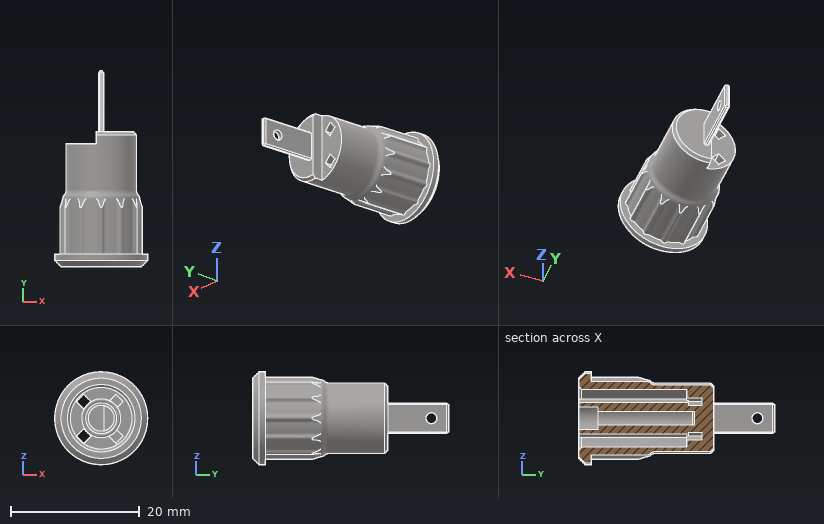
import cadquery as cq
import math

total_length = 30.5

join_overlap = 0.3

flange_radius = 7.245
flange_thickness = 1.98
flange_chamfer = 1.0

shank_radius = 6.0
shoulder_start = 10.55
shoulder_fillet = 1.0
rear_radius = 5.5
rear_end = 21.0
rear_chamfer = 0.5

notch_start = 19.15
notch_face_x = -0.8

rib_count = 12
rib_peak_radius = 6.4
rib_crest_half_width = 0.3
rib_crest_drop = 0.15
rib_foot_half_width = 0.7
rib_flank_sag = 0.037
rib_bevel_start = 9.25

well_radius = 4.8
well_mouth_radius = 5.25
well_mouth_depth = 0.43
well_depth = 16.78
tube_radius = 3.02
tube_wall = 0.6
tube_bore_depth = 3.0
inner_bore_radius = 2.0
inner_bore_depth = 17.7
inner_step_depth = 0.3

window_side = 1.6
upper_window_z = 2.6
lower_window_z = -2.78
through_window_x = -2.7
blind_window_x = 2.3

tab_thickness = 0.8
tab_width = 4.67
tab_edge_chamfer_x = 0.25
tab_edge_chamfer_z = 0.2
tab_tip_chamfer_y = 0.37
tab_hole_diameter = 1.65
tab_hole_y = 27.8


def revolve_about_y(profile):
    """Revolve a closed profile drawn in XY (X is the radius) about the Y axis."""
    return profile.close().revolve(360, (0, 0, 0), (0, 1, 0))


def cylinder(radius, start, end):
    """Solid cylinder on the Y axis between two Y positions."""
    return cq.Workplane("XZ", origin=(0, start, 0)).circle(radius).extrude(start - end)


def make_shell():
    """Flange, shank and shoulder; the shoulder is two equal tangent arcs."""
    half_drop = (shank_radius - rear_radius) / 2
    turn = math.acos(1 - half_drop / shoulder_fillet)
    arc_length = shoulder_fillet * math.sin(turn)
    mid_drop = shoulder_fillet * (1 - math.cos(turn / 2))
    mid_run = shoulder_fillet * math.sin(turn / 2)
    shoulder_end = shoulder_start + 2 * arc_length
    return revolve_about_y(
        cq.Workplane("XY")
        .lineTo(flange_radius - flange_chamfer, 0)
        .lineTo(flange_radius, flange_chamfer)
        .lineTo(flange_radius, flange_thickness)
        .lineTo(shank_radius, flange_thickness)
        .lineTo(shank_radius, shoulder_start)
        .threePointArc(
            (shank_radius - mid_drop, shoulder_start + mid_run),
            (shank_radius - half_drop, shoulder_start + arc_length),
        )
        .threePointArc(
            (rear_radius + mid_drop, shoulder_end - mid_run),
            (rear_radius, shoulder_end),
        )
        .lineTo(rear_radius, rear_end - rear_chamfer)
        .lineTo(rear_radius - rear_chamfer, rear_end)
        .lineTo(0, rear_end)
    )


def make_ribs():
    """Ribs with a rounded crest and hollow flanks, bevelled by a cone at their rear ends."""
    crest_edge = rib_peak_radius - rib_crest_drop
    foot = math.sqrt(shank_radius**2 - rib_foot_half_width**2)
    root = foot - join_overlap
    flank_x = rib_foot_half_width - rib_crest_half_width
    flank_z = crest_edge - foot
    flank_chord = math.hypot(flank_x, flank_z)
    hollow_x = (rib_foot_half_width + rib_crest_half_width) / 2 - rib_flank_sag * flank_z / flank_chord
    hollow_z = (foot + crest_edge) / 2 - rib_flank_sag * flank_x / flank_chord
    rib = (
        cq.Workplane("XZ")
        .moveTo(-rib_foot_half_width, root)
        .lineTo(-rib_foot_half_width, foot)
        .threePointArc((-hollow_x, hollow_z), (-rib_crest_half_width, crest_edge))
        .threePointArc((0, rib_peak_radius), (rib_crest_half_width, crest_edge))
        .threePointArc((hollow_x, hollow_z), (rib_foot_half_width, foot))
        .lineTo(rib_foot_half_width, root)
        .close()
        .extrude(-shoulder_start)
    )
    envelope = revolve_about_y(
        cq.Workplane("XY")
        .moveTo(0, flange_thickness / 2)
        .lineTo(rib_peak_radius, flange_thickness / 2)
        .lineTo(rib_peak_radius, rib_bevel_start)
        .lineTo(shank_radius, shoulder_start)
        .lineTo(0, shoulder_start)
    )
    rib = rib.intersect(envelope)
    pitch = 360 / rib_count
    ribs = rib
    for index in range(1, rib_count):
        ribs = ribs.union(rib.rotate((0, 0, 0), (0, 1, 0), index * pitch))
    return ribs


def make_well():
    """Well with a bevelled mouth."""
    return revolve_about_y(
        cq.Workplane("XY")
        .lineTo(well_mouth_radius, 0)
        .lineTo(well_radius, well_mouth_depth)
        .lineTo(well_radius, well_depth)
        .lineTo(0, well_depth)
    )


def make_tube():
    """Contact tube with a fully rounded lip, standing on the floor of the well."""
    inner = tube_radius - tube_wall
    lip = tube_wall / 2
    return revolve_about_y(
        cq.Workplane("XY")
        .moveTo(tube_radius, well_depth + join_overlap)
        .lineTo(tube_radius, lip)
        .threePointArc((tube_radius - lip, 0), (inner, lip))
        .lineTo(inner, tube_bore_depth)
        .lineTo(inner_bore_radius, tube_bore_depth)
        .lineTo(inner_bore_radius, well_depth + join_overlap)
    )


def make_inner_bore():
    """Narrow bore below the wider mouth of the tube."""
    return cylinder(inner_bore_radius, tube_bore_depth, inner_bore_depth)


def make_bore_step():
    """Segment of the bore floor beyond the +X face of the tab, cut slightly deeper."""
    chord_x = tab_thickness / 2
    chord_z = math.sqrt(inner_bore_radius**2 - chord_x**2)
    return (
        cq.Workplane("XZ", origin=(0, inner_bore_depth, 0))
        .moveTo(chord_x, -chord_z)
        .threePointArc((inner_bore_radius, 0), (chord_x, chord_z))
        .close()
        .extrude(-inner_step_depth)
    )


def make_windows():
    """Four square windows turned by 45 degrees, from the well floor to the notch level."""
    centers = [
        (x, z)
        for x in (through_window_x, blind_window_x)
        for z in (lower_window_z, upper_window_z)
    ]
    return (
        cq.Workplane("XZ", origin=(0, well_depth, 0))
        .pushPoints(centers)
        .polygon(4, window_side * math.sqrt(2))
        .extrude(well_depth - notch_start)
    )


def make_notch():
    """Block that removes the -X side of the rear end."""
    size = 2 * rear_radius
    return cq.Workplane("XY").box(size, size, 2 * size).translate(
        (notch_face_x - size / 2, notch_start + size / 2, 0)
    )


def make_tab():
    """Flat tab with bevelled long edges, a bevelled tip and a cross hole."""
    start = notch_start
    half_thickness = tab_thickness / 2
    half_width = tab_width / 2
    flat_x = half_thickness - tab_edge_chamfer_x
    flat_z = half_width - tab_edge_chamfer_z
    section = [
        (flat_x, half_width),
        (half_thickness, flat_z),
        (half_thickness, -flat_z),
        (flat_x, -half_width),
        (-flat_x, -half_width),
        (-half_thickness, -flat_z),
        (-half_thickness, flat_z),
        (-flat_x, half_width),
    ]
    tab = cq.Workplane("XZ", origin=(0, start, 0)).polyline(section).close().extrude(start - total_length)

    tip_start = total_length - tab_tip_chamfer_y

    def tip_outline(plane, half_size, flat):
        return (
            cq.Workplane(plane)
            .polyline([
                (-half_size, start),
                (half_size, start),
                (half_size, tip_start),
                (flat, total_length),
                (-flat, total_length),
                (-half_size, tip_start),
            ])
            .close()
            .extrude(tab_width, both=True)
        )

    tab = tab.intersect(tip_outline("XY", half_thickness, flat_x))
    tab = tab.intersect(tip_outline("ZY", half_width, flat_z))
    hole = (
        cq.Workplane("YZ")
        .center(tab_hole_y, 0)
        .circle(tab_hole_diameter / 2)
        .extrude(tab_thickness, both=True)
    )
    return tab.cut(hole)


body = make_shell().union(make_ribs())
body = body.cut(make_well()).cut(make_windows()).cut(make_notch())
body = body.union(make_tube()).cut(make_inner_bore()).cut(make_bore_step())
result = body.union(make_tab())